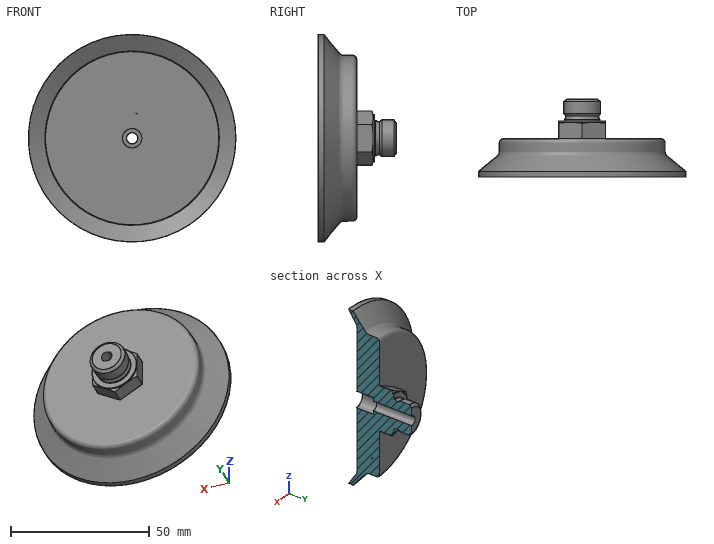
import cadquery as cq
import math


lip_radius = 37.5
lip_rim_height = 2.1
collar_radius = 30.0
cup_height = 13.95
cone_top = 8.25
cup_fillet = 1.65

hollow_depth = 3.6
hollow_floor_radius = 31.5
plate_radius = 31.3
plate_step = 0.15

hex_across_flats = 17.0
hex_top = 19.8
hex_chamfer_height = 0.4
hex_chamfer_angle = 15.0
washer_face_top = 20.3

total_height = 28.2
stud_radius = 6.7
tip_chamfer_height = 0.9
tip_chamfer_width = 1.1
thread_start = 23.0
neck_radius = 6.0
neck_top = 22.1
neck_foot_radius = 6.45
neck_foot_top = 20.8

bore_diameter = 4.0
counterbore_diameter = 7.0
counterbore_depth = 7.5


def cylinder(radius, start, end):
    """Solid cylinder on the Y axis between two heights."""
    return cq.Workplane("XZ", origin=(0, start, 0)).circle(radius).extrude(start - end)


def revolve_about_y(profile):
    """Full turn of an XY half-profile around the Y axis."""
    return profile.close().revolve(360, (0, 0, 0), (0, 1, 0))


def make_cup():
    """Collar and flared lip with a shallow conical hollow."""
    cup = revolve_about_y(
        cq.Workplane("XY")
        .lineTo(lip_radius, 0)
        .lineTo(lip_radius, lip_rim_height)
        .lineTo(collar_radius, cone_top)
        .lineTo(collar_radius, cup_height)
        .lineTo(0, cup_height)
    )
    collar_edges = cq.selectors.BoxSelector(
        (-lip_radius, (lip_rim_height + cone_top) / 2, -lip_radius),
        (lip_radius, total_height, lip_radius),
    )
    cup = cup.edges(collar_edges).edges("%CIRCLE").fillet(cup_fillet)
    hollow = revolve_about_y(
        cq.Workplane("XY")
        .lineTo(lip_radius, 0)
        .lineTo(hollow_floor_radius, hollow_depth + plate_step)
        .lineTo(0, hollow_depth + plate_step)
    )
    plate = cylinder(plate_radius, hollow_depth, hollow_depth + plate_step)
    return cup.cut(hollow).union(plate)


def make_hex_nut():
    """Hexagon with corners at +Z and -Z and a conical chamfer on its outer end."""
    corner_radius = hex_across_flats / math.sqrt(3)
    corners = [
        (
            corner_radius * math.sin(math.radians(60 * i)),
            corner_radius * math.cos(math.radians(60 * i)),
        )
        for i in range(6)
    ]
    prism = (
        cq.Workplane("XZ", origin=(0, cup_height, 0))
        .polyline(corners)
        .close()
        .extrude(cup_height - hex_top)
    )
    top_radius = hex_across_flats / 2
    base_radius = top_radius + hex_chamfer_height / math.tan(math.radians(hex_chamfer_angle))
    chamfer_envelope = revolve_about_y(
        cq.Workplane("XY")
        .moveTo(0, cup_height)
        .lineTo(base_radius, cup_height)
        .lineTo(base_radius, hex_top - hex_chamfer_height)
        .lineTo(top_radius, hex_top)
        .lineTo(0, hex_top)
    )
    return prism.intersect(chamfer_envelope)


def make_stud():
    """Stud with a chamfered tip and a neck that curves out to a short round foot."""
    neck_arc_height = neck_top - neck_foot_top
    neck_arc_width = neck_foot_radius - neck_radius
    neck_arc_radius = (neck_arc_height**2 + neck_arc_width**2) / (2 * neck_arc_width)
    half_sweep = math.asin(neck_arc_height / neck_arc_radius) / 2
    neck_arc_middle = (
        neck_radius + neck_arc_radius * (1 - math.cos(half_sweep)),
        neck_top - neck_arc_radius * math.sin(half_sweep),
    )
    return revolve_about_y(
        cq.Workplane("XY")
        .moveTo(0, washer_face_top)
        .lineTo(neck_foot_radius, washer_face_top)
        .lineTo(neck_foot_radius, neck_foot_top)
        .threePointArc(neck_arc_middle, (neck_radius, neck_top))
        .lineTo(stud_radius, thread_start)
        .lineTo(stud_radius, total_height - tip_chamfer_height)
        .lineTo(stud_radius - tip_chamfer_width, total_height)
        .lineTo(0, total_height)
    )


washer_face = cylinder(hex_across_flats / 2, hex_top, washer_face_top)
body = make_cup().union(make_hex_nut()).union(washer_face).union(make_stud())
bore = cylinder(bore_diameter / 2, 0, total_height)
counterbore = cylinder(counterbore_diameter / 2, 0, hollow_depth + counterbore_depth)
result = body.cut(bore).cut(counterbore)